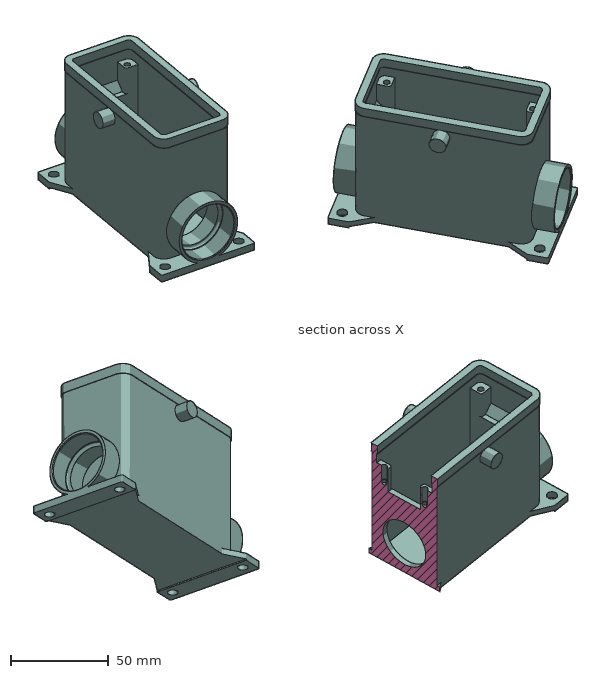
import cadquery as cq
import math

total_length = 117.0
half_length = total_length / 2
total_height = 77.0
peg_span = 58.5

body_length = 94.0
body_width = 43.6
corner_radius = 6.2
body_bottom = 0.8
rim_overhang = 0.2
rim_height = 5.6
rim_bottom = total_height - rim_height

opening_length = 86.1
opening_width = 35.7
opening_radius = 2.0
cavity_undercut = 0.4
cavity_radius = 3.0
floor_thickness = 4.0
floor_top = body_bottom + floor_thickness

post_size = 7.3
post_radius = 1.3
post_top = 65.5
screw_spacing_x = 77.5
screw_spacing_y = 26.9
screw_radius = 1.6
pilot_radius = 1.2
screw_depth = 10.0
pilot_depth = 11.9
drill_tip_angle = 118.0
pad_face_x = opening_length / 2 - post_size
pad_top = 50.0
pad_slope = 4.2

spout_z = 20.6
spout_radius = 17.8
socket_radius = 15.8
socket_chamfer = 0.5
relief_radius = 16.1
relief_length = 1.5
relief_fillet = 0.9
socket_floor_x = 45.7
bore_radius = 14.0

peg_diameter = 9.0
peg_z = 67.2

foot_width = 57.0
foot_top = 4.1
foot_edge_x = 47.3
taper_angle = 30.0
foot_fillet = 0.9
foot_hole_diameter = 5.5
foot_hole_spacing_x = 104.8
foot_hole_spacing_y = 44.8


def rounded_block(length, width, radius, bottom, top):
    block = cq.Workplane("XY").workplane(offset=bottom).rect(length, width).extrude(top - bottom)
    return block.edges("|Z").fillet(radius)


def mirror_both(feature, plane):
    """Combine a feature with its mirror image across the given plane."""
    return feature.union(feature.mirror(plane))


def make_shell():
    body = rounded_block(body_length, body_width, corner_radius, body_bottom, total_height)
    rim = rounded_block(
        body_length + 2 * rim_overhang, body_width + 2 * rim_overhang, corner_radius, rim_bottom, total_height
    )
    return body.union(rim)


def make_cavity():
    opening = rounded_block(opening_length, opening_width, opening_radius, floor_top, total_height)
    chamber = rounded_block(
        opening_length + 2 * cavity_undercut,
        opening_width + 2 * cavity_undercut,
        cavity_radius,
        floor_top,
        rim_bottom,
    )
    return opening.union(chamber)


def make_foot():
    """Foot plate at +X, tapering in to the body sides, with a thicker sole beyond the taper."""
    tip_y = foot_width / 2
    body_y = body_width / 2
    taper_end_x = foot_edge_x - (tip_y - body_y) / math.tan(math.radians(taper_angle))
    plate = (
        cq.Workplane("XY")
        .polyline([
            (half_length, -tip_y),
            (half_length, tip_y),
            (foot_edge_x, tip_y),
            (taper_end_x, body_y),
            (0, body_y),
            (0, -body_y),
            (taper_end_x, -body_y),
            (foot_edge_x, -tip_y),
        ])
        .close()
        .extrude(foot_top)
        .edges("|Z")
        .fillet(foot_fillet)
    )
    sole_relief = (
        cq.Workplane("XY")
        .rect(2 * foot_edge_x, foot_width)
        .extrude(body_bottom)
    )
    holes = (
        cq.Workplane("XY")
        .pushPoints([(foot_hole_spacing_x / 2, side * foot_hole_spacing_y / 2) for side in (-1, 1)])
        .circle(foot_hole_diameter / 2)
        .extrude(foot_top)
    )
    return plate.cut(sole_relief).cut(holes)


def make_spout():
    spout = cq.Workplane("YZ", origin=(pad_face_x, 0, spout_z)).circle(spout_radius)
    return spout.extrude(half_length - pad_face_x)


def make_spout_bore():
    """Through bore at +X, opening into a wider, undercut socket with a chamfered mouth."""
    relief_end_x = socket_floor_x + relief_length
    bore = cq.Workplane("YZ", origin=(0, 0, spout_z)).circle(bore_radius).extrude(half_length)
    socket = (
        cq.Workplane("YZ", origin=(relief_end_x, 0, spout_z))
        .circle(socket_radius)
        .extrude(half_length - relief_end_x)
    )
    relief = (
        cq.Workplane("YZ", origin=(socket_floor_x, 0, spout_z))
        .circle(relief_radius)
        .extrude(relief_length)
        .faces("<X")
        .edges()
        .fillet(relief_fillet)
    )
    mouth = (
        cq.Workplane("YZ", origin=(half_length, 0, spout_z))
        .circle(socket_radius + socket_chamfer)
        .extrude(-socket_chamfer, taper=45)
    )
    return bore.union(socket).union(relief).union(mouth)


def make_end_pad():
    """Thickened end wall at +X around the bore, sloped on top."""
    wall_x = opening_length / 2 + cavity_undercut
    inner_edge_x = opening_length / 2 - pad_slope
    return (
        cq.Workplane("XZ")
        .polyline([
            (pad_face_x, floor_top),
            (pad_face_x, pad_top),
            (inner_edge_x, pad_top),
            (wall_x, pad_top + wall_x - inner_edge_x),
            (wall_x, floor_top),
        ])
        .close()
        .extrude(body_width / 2, both=True)
    )


def make_post():
    """Screw post in the +X +Y corner, drilled from the top."""
    outer_x = opening_length / 2 + cavity_undercut
    outer_y = opening_width / 2 + cavity_undercut
    inner_y = opening_width / 2 - post_size
    post = (
        cq.Workplane("XY")
        .box(outer_x - pad_face_x, outer_y - inner_y, post_top - floor_top, centered=False)
        .translate((pad_face_x, inner_y, floor_top))
        .edges("|Z and <X and <Y")
        .fillet(post_radius)
    )
    tip_depth = pilot_depth + pilot_radius / math.tan(math.radians(drill_tip_angle / 2))
    drill = (
        cq.Workplane("XZ")
        .polyline([
            (0, 0),
            (screw_radius, 0),
            (screw_radius, -screw_depth),
            (pilot_radius, -screw_depth),
            (pilot_radius, -pilot_depth),
            (0, -tip_depth),
        ])
        .close()
        .revolve(360, (0, 0), (0, 1))
        .translate((screw_spacing_x / 2, screw_spacing_y / 2, post_top))
    )
    return post.cut(drill)


def make_pegs():
    peg = cq.Workplane("XZ", origin=(0, 0, peg_z)).circle(peg_diameter / 2)
    return peg.extrude(peg_span / 2, both=True)


cavity = make_cavity()
posts = mirror_both(make_post(), "XZ")
inserts = mirror_both(make_end_pad().union(posts), "YZ")
spouts = mirror_both(make_spout(), "YZ")
feet = mirror_both(make_foot(), "YZ")
bores = mirror_both(make_spout_bore(), "YZ")

result = (
    make_shell()
    .union(make_pegs())
    .union(spouts)
    .union(feet)
    .cut(cavity.cut(inserts))
    .cut(bores)
)